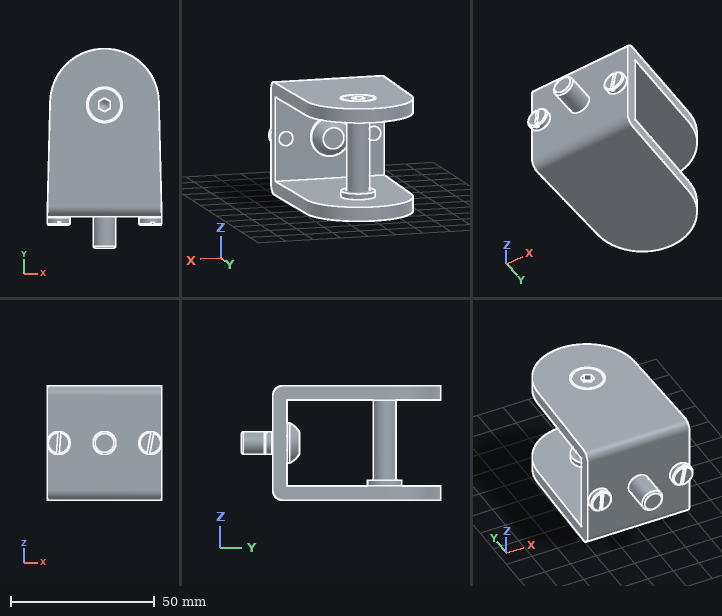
import cadquery as cq
import math


width = 40.0
height = 40.0
length = 58.6
wall = 5.0
bend_radius = 3.5
nose_radius = 19.0

pin_y = 39.0
pin_diameter = 8.0
flange_diameter = 12.0
flange_thickness = 2.0
pin_fillet = 0.35

countersink_diameter = 12.4
countersink_angle = 90.0
csk_head_diameter = 11.35
csk_shank_diameter = 6.0
csk_length = 13.9
socket_across_flats = 4.1
socket_depth = 2.4
socket_tip_angle = 118.0
socket_turn = 30.0

bolt_diameter = 8.0
bolt_reach = 11.0
bolt_chamfer = 0.7
button_diameter = 14.0
button_height = 4.4
button_rim = 1.0
button_flat_diameter = 7.5

slotted_head_diameter = 8.0
slotted_head_height = 2.9
slotted_chamfer = 0.4
slotted_shank_diameter = 5.0
slot_width = 1.05
slot_depth = 1.05
left_slot_tilt = 4.2
right_slot_tilt = 11.0

half_width = width / 2
half_height = height / 2
inner_half_height = half_height - wall
slotted_x = half_width - slotted_head_diameter / 2

countersink_depth = (countersink_diameter - csk_shank_diameter) / 2
csk_rim_height = (countersink_diameter - csk_head_diameter) / 2
csk_reach_in_pin = csk_length - wall


def y_cylinder(x, y_start, y_end, diameter):
    """Cylinder along Y, on the middle plane Z = 0."""
    return (
        cq.Workplane("XZ", origin=(x, y_start, 0))
        .circle(diameter / 2)
        .extrude(y_start - y_end)
    )


def make_bracket():
    block = (
        cq.Workplane("XY")
        .box(width, length, height, centered=(True, False, True))
        .edges("<Y and |X")
        .fillet(bend_radius)
    )
    gap = (
        cq.Workplane("XY")
        .box(width, length, 2 * inner_half_height, centered=(True, False, True))
        .translate((0, wall, 0))
    )

    nose_y = length - nose_radius
    corner_distance = math.hypot(half_width, nose_y)
    tangent_angle = math.acos(nose_radius / corner_distance) - math.atan2(nose_y, half_width)
    tangent_x = nose_radius * math.cos(tangent_angle)
    tangent_y = nose_y + nose_radius * math.sin(tangent_angle)
    outline = (
        cq.Workplane("XY", origin=(0, 0, -half_height))
        .moveTo(-half_width, 0)
        .lineTo(half_width, 0)
        .lineTo(tangent_x, tangent_y)
        .threePointArc((0, length), (-tangent_x, tangent_y))
        .close()
        .extrude(height)
    )
    bracket = block.cut(gap).intersect(outline)

    bracket = (
        bracket.faces(">Z")
        .workplane(origin=(0, pin_y, half_height))
        .cskHole(csk_shank_diameter, countersink_diameter, countersink_angle, depth=wall)
    )

    bracket = bracket.cut(y_cylinder(0, 0, wall, bolt_diameter))
    for x in (-slotted_x, slotted_x):
        bracket = bracket.cut(y_cylinder(x, 0, wall, slotted_shank_diameter))
    return bracket


def make_pin():
    flange = (
        cq.Workplane("XY", origin=(0, pin_y, -inner_half_height))
        .circle(flange_diameter / 2)
        .extrude(flange_thickness)
    )
    pin = (
        flange.faces(">Z")
        .workplane()
        .circle(pin_diameter / 2)
        .extrude(2 * inner_half_height - flange_thickness)
    )
    foot = cq.selectors.NearestToPointSelector((0, pin_y, -inner_half_height + flange_thickness))
    pin = pin.edges(foot).fillet(pin_fillet)
    return pin.faces(">Z").workplane().hole(csk_shank_diameter, csk_reach_in_pin)


def make_countersunk_screw():
    head_radius = csk_head_diameter / 2
    shank_radius = csk_shank_diameter / 2
    screw = (
        cq.Workplane("XZ")
        .polyline([
            (0, 0),
            (head_radius, 0),
            (head_radius, -csk_rim_height),
            (shank_radius, -countersink_depth),
            (shank_radius, -csk_length),
            (0, -csk_length),
        ])
        .close()
        .revolve(360, (0, 0, 0), (0, 1, 0))
    )

    corner_radius = socket_across_flats / math.sqrt(3)
    tip_depth = socket_depth + corner_radius / math.tan(math.radians(socket_tip_angle / 2))
    hexagon = (
        cq.Workplane("XY")
        .polygon(6, 2 * corner_radius)
        .extrude(-tip_depth)
        .rotate((0, 0, 0), (0, 0, 1), socket_turn)
    )
    drill = (
        cq.Workplane("XZ")
        .polyline([(0, 0), (corner_radius, 0), (corner_radius, -socket_depth), (0, -tip_depth)])
        .close()
        .revolve(360, (0, 0, 0), (0, 1, 0))
    )
    screw = screw.cut(hexagon.intersect(drill))
    return screw.translate((0, pin_y, half_height))


def make_bolt():
    bolt = y_cylinder(0, -bolt_reach, wall, bolt_diameter).faces("<Y").chamfer(bolt_chamfer)

    rim_radius = button_diameter / 2
    flat_radius = button_flat_diameter / 2
    dome_height = button_height - button_rim
    centre_offset = (dome_height**2 + flat_radius**2 - rim_radius**2) / (2 * dome_height)
    sphere_radius = math.hypot(rim_radius, centre_offset)
    mid_height = dome_height / 2
    mid_radius = math.sqrt(sphere_radius**2 - (mid_height - centre_offset) ** 2)

    rim_y = wall + button_rim
    head = (
        cq.Workplane("XY")
        .moveTo(0, wall)
        .lineTo(rim_radius, wall)
        .lineTo(rim_radius, rim_y)
        .threePointArc((mid_radius, rim_y + mid_height), (flat_radius, rim_y + dome_height))
        .lineTo(0, rim_y + dome_height)
        .close()
        .revolve(360, (0, 0, 0), (0, 1, 0))
    )
    return bolt.union(head)


def make_slotted_screw(x, slot_tilt):
    head = (
        y_cylinder(x, -slotted_head_height, 0, slotted_head_diameter)
        .faces("<Y or >Y")
        .chamfer(slotted_chamfer)
    )
    slot = (
        cq.Workplane("XY")
        .box(slot_width, slot_depth, slotted_head_diameter, centered=(True, False, True))
        .rotate((0, 0, 0), (0, 1, 0), slot_tilt)
        .translate((x, -slotted_head_height, 0))
    )
    shank = y_cylinder(x, 0, wall, slotted_shank_diameter)
    return head.cut(slot).union(shank)


bracket = make_bracket()
pin = make_pin()
countersunk_screw = make_countersunk_screw()
bolt = make_bolt()
slotted_screws = [
    make_slotted_screw(x, tilt)
    for x, tilt in ((-slotted_x, left_slot_tilt), (slotted_x, right_slot_tilt))
]

result = cq.Compound.makeCompound([
    bracket.val(),
    pin.val(),
    countersunk_screw.val(),
    bolt.val(),
    *[screw.val() for screw in slotted_screws],
])